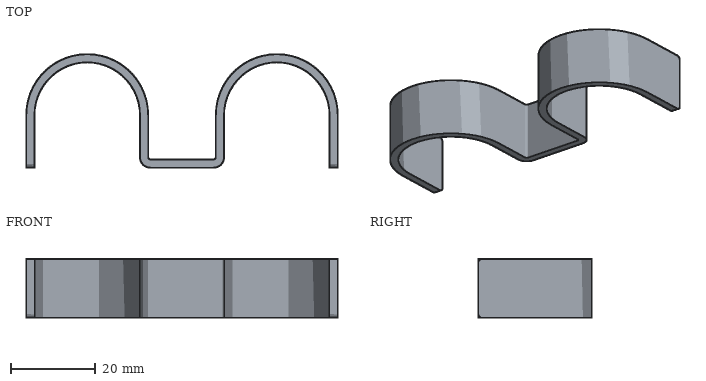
import cadquery as cq

thickness = 2.0
width = 14.0
inner_radius = 12.5
seat_spacing = 45.0
leg_length = 12.5
bend_inner_radius = 0.5
end_corner_radius = 1.0

outer_radius = inner_radius + thickness
bend_outer_radius = bend_inner_radius + thickness
seat_x = seat_spacing / 2
leg_bottom = -leg_length
half_gap = seat_x - outer_radius


def seat(center_x):
    """Half ring, open towards -Y, centred on the X axis."""
    ring = cq.Workplane("XY").circle(outer_radius).circle(inner_radius).extrude(width)
    upper_half = cq.Workplane("XY").rect(2 * outer_radius, outer_radius).extrude(width)
    upper_half = upper_half.translate((0, outer_radius / 2, 0))
    return ring.intersect(upper_half).translate((center_x, 0, 0))


def free_leg(side):
    """Outer straight leg with its two end corners rounded across the strip width."""
    leg = cq.Workplane("XY").box(thickness, leg_length, width, centered=(True, False, False))
    leg = leg.edges("|X and <Y").fillet(end_corner_radius)
    leg_x = side * (seat_x + inner_radius + thickness / 2)
    return leg.translate((leg_x, leg_bottom, 0))


def center_channel():
    """Two inner legs joined by the flat web, with rounded bends."""
    outer_half = half_gap + thickness
    outer = (
        cq.Workplane("XY")
        .box(2 * outer_half, leg_length, width, centered=(True, False, False))
        .edges("|Z and <Y")
        .fillet(bend_outer_radius)
    )
    gap = (
        cq.Workplane("XY")
        .box(2 * half_gap, leg_length - thickness, width, centered=(True, False, False))
        .edges("|Z and <Y")
        .fillet(bend_inner_radius)
        .translate((0, thickness, 0))
    )
    return outer.cut(gap).translate((0, leg_bottom, 0))


strip = center_channel()
for side in (-1, 1):
    strip = strip.union(seat(side * seat_x)).union(free_leg(side))

result = strip